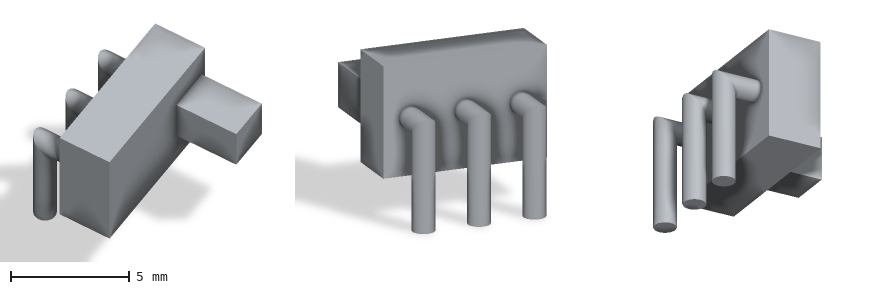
import cadquery as cq

length = 7.5
width = 7.5
height = 7.0

body_height = 5.0
body_start = 2.0
body_thickness = 2.5
body_end = body_start + body_thickness

lever_side = 2.0
lever_edge_gap = 0.25

pin_count = 3
pin_diameter = 1.0
pin_pitch = 2.54
pin_height = 5.08
pin_radius = pin_diameter / 2
pin_bottom = body_height - height
pin_axis_z = pin_bottom + pin_height - pin_radius


def make_body():
    return cq.Workplane("XY").box(
        body_thickness, width, body_height, centered=(False, True, False)
    ).translate((body_start, 0, 0))


def make_lever():
    lever_y = width / 2 - lever_edge_gap - lever_side / 2
    return cq.Workplane("XY").box(
        length - body_end, lever_side, lever_side, centered=(False, True, True)
    ).translate((body_end, lever_y, body_height / 2))


def make_pin(y):
    """Sweep a round wire up from its tip and around a mitred right-angle bend."""
    path = (
        cq.Workplane("XZ", origin=(0, y, 0))
        .moveTo(pin_radius, pin_bottom)
        .lineTo(pin_radius, pin_axis_z)
        .lineTo(body_start, pin_axis_z)
    )
    return (
        cq.Workplane("XY", origin=(pin_radius, y, pin_bottom))
        .circle(pin_radius)
        .sweep(path, transition="right")
    )


result = make_body().union(make_lever())
for index in range(pin_count):
    pin_y = (index - (pin_count - 1) / 2) * pin_pitch
    result = result.union(make_pin(pin_y))